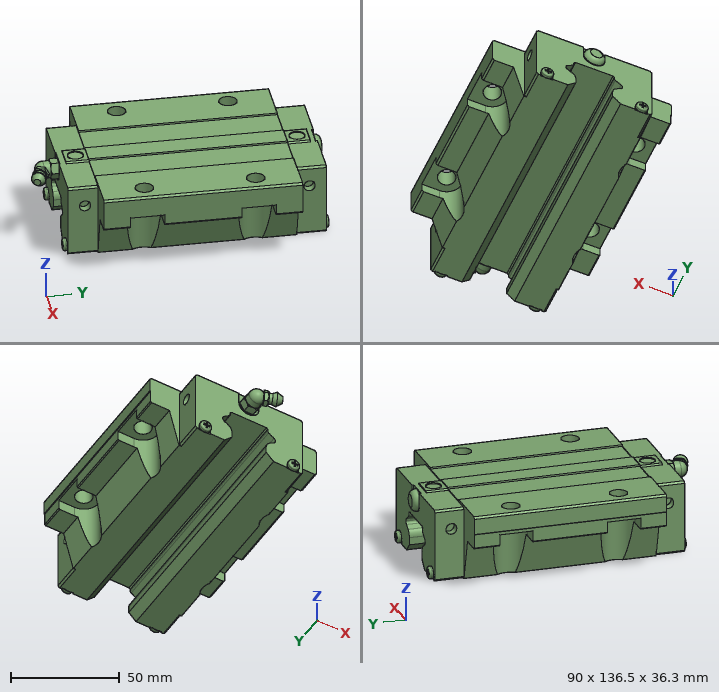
import cadquery as cq
import math


overall_length = 136.5

body_length = 92.8
body_height = 36.0
flange_width = 90.0
flange_half_width = flange_width / 2
flange_bottom = 20.2
edge_chamfer = 1.0
leg_top_half_width = 34.4
leg_bottom_half_width = 29.2
land_bottom = 27.5
land_setback = 0.4

recess_depth = 0.7
recess_half_width = 20.9
strip_half_width = 5.2
wall_run = 0.3

hole_x = 36.0
hole_pitch = 52.0
hole_y = hole_pitch / 2
hole_diameter = 8.5
spotface_diameter = 16.1
spotface_z = 25.8

cap_half_width = 29.0
cap_height = 35.0
cap_end = 60.3
plate_thickness = 3.3
cap_inner = body_length / 2
plate_inner = cap_end - plate_thickness
cap_mid = (cap_inner + plate_inner) / 2
cap_strip_height = 0.7
cap_strip_slope = 0.8
top_recess_diameter = 7.4
top_recess_depth = 0.5
side_hole_diameter = 5.2
side_hole_depth = 4.1
side_hole_y = 52.4
side_hole_z = 25.1

roof_half_width = 9.4
roof_chamfer = 0.7
opening_half_width = roof_half_width + roof_chamfer
groove_half_width = 14.2
throat_half_width = 9.3
mouth_half_width = 13.2
groove_mid_z = 13.9
groove_wall_height = 1.9
mouth_top = 17.7
lip_z = 9.7
throat_bottom = 4.0
mouth_fillet = 1.1
groove_fillet = 1.6
lip_fillet = 4.1

port_z = 29.5
port_radius = 5.3
nipple_pocket_depth = 0.4
plug_pocket_depth = 0.8
screw_pocket_depth = 0.4

screw_x = 23.8
screw_z = 2.7
screw_radius = 3.0
screw_rim = 0.7
screw_height = 1.8
screw_crown_radius = 1.9
cross_length = 3.0
cross_width = 0.5
cross_depth = 0.7

plug_rim = -0.4
plug_height = 2.6
plug_flat_radius = 3.0

nut_corner_radius = 4.8
nut_end = 63.8
nut_chamfer = 0.5
elbow_radius = 4.0
spout_tilt = 22.5
collar_start = 3.3
collar_length = 2.3
collar_corner_radius = 3.8
collar_chamfer = 0.8
neck_radius = 2.6
neck_end = 7.2
barb_radius = 3.4
barb_peak = 9.3
tip_radius = 1.6
tip_end = 12.1

tilt = math.radians(spout_tilt)
barb_reach = barb_peak * math.sin(tilt) + barb_radius * math.cos(tilt)
elbow_y = cap_end + plug_height + barb_reach - overall_length


def extrude_along_y(outline, y_low, y_high):
    """Extrude an XZ outline from y_low to y_high."""
    return outline.extrude(y_low - y_high).translate((0, y_low, 0))


def mirrored_outline(right_half):
    """Closed XZ outline from the points of its +X half."""
    left_half = [(-x, z) for x, z in reversed(right_half)]
    return cq.Workplane("XZ").polyline(right_half + left_half).close()


def make_body():
    recess_floor = body_height - recess_depth
    outline = mirrored_outline([
        (strip_half_width, body_height),
        (strip_half_width + wall_run, recess_floor),
        (recess_half_width, recess_floor),
        (recess_half_width + wall_run, body_height),
        (flange_half_width - edge_chamfer, body_height),
        (flange_half_width, body_height - edge_chamfer),
        (flange_half_width, flange_bottom + edge_chamfer),
        (flange_half_width - edge_chamfer, flange_bottom),
        (leg_top_half_width, flange_bottom),
        (leg_bottom_half_width, 0),
    ])
    body = extrude_along_y(outline, -body_length / 2, body_length / 2)
    setback = cq.Workplane("XY").box(
        land_setback, body_length, land_bottom, centered=(False, True, False)
    ).translate((-flange_half_width, 0, 0))
    return body.cut(setback)


def make_mounting_holes():
    """Through holes with spotfaces that run out through the flange sides."""
    holes = (
        cq.Workplane("XY").rect(2 * hole_x, 2 * hole_y, forConstruction=True).vertices()
        .circle(hole_diameter / 2).extrude(body_height)
    )
    spotface_run = flange_half_width - hole_x
    for side in (-1, 1):
        for y in (-hole_y, hole_y):
            seat = cq.Workplane("XY").center(side * hole_x, y)
            holes = holes.union(seat.circle(spotface_diameter / 2).extrude(spotface_z))
            run_out = seat.center(side * spotface_run / 2, 0).rect(spotface_run, spotface_diameter)
            holes = holes.union(run_out.extrude(spotface_z))
    return holes


def make_rail_opening():
    wall_top = groove_mid_z + groove_wall_height / 2
    wall_bottom = groove_mid_z - groove_wall_height / 2
    outline = mirrored_outline([
        (roof_half_width, flange_bottom),
        (opening_half_width, flange_bottom - roof_chamfer),
        (opening_half_width, mouth_top),
        (groove_half_width, wall_top),
        (groove_half_width, wall_bottom),
        (throat_half_width, lip_z),
        (throat_half_width, throat_bottom),
        (mouth_half_width, 0),
    ])
    opening = extrude_along_y(outline, -cap_end, cap_end)
    for side in (-1, 1):
        for x, z, radius in (
            (opening_half_width, mouth_top, mouth_fillet),
            (groove_half_width, wall_top, groove_fillet),
            (groove_half_width, wall_bottom, groove_fillet),
            (throat_half_width, lip_z, lip_fillet),
        ):
            corner = cq.selectors.NearestToPointSelector((side * x, 0, z))
            opening = opening.edges("|Y").edges(corner).fillet(radius)
    return opening


def make_cap():
    """End cap and wiper plate at the -Y end with its screws, but without the port pocket."""
    outline = cq.Workplane("XZ").rect(2 * cap_half_width, cap_height)
    cap = extrude_along_y(outline, -cap_end, -cap_inner)
    cap = cap.translate((0, 0, cap_height / 2)).edges("|Y").chamfer(edge_chamfer)

    strip_top = cap_height + cap_strip_height
    strip = mirrored_outline([
        (strip_half_width, strip_top),
        (strip_half_width + cap_strip_slope, cap_height),
    ])
    cap = cap.union(extrude_along_y(strip, -plate_inner, -cap_inner))

    top_recess = (
        cq.Workplane("XY").workplane(offset=strip_top - top_recess_depth).center(0, -cap_mid)
        .circle(top_recess_diameter / 2).extrude(top_recess_depth)
    )
    cap = cap.cut(top_recess)
    for side in (-1, 1):
        side_hole = (
            cq.Workplane("YZ").center(-side_hole_y, side_hole_z)
            .circle(side_hole_diameter / 2).extrude(-side * side_hole_depth)
            .translate((side * cap_half_width, 0, 0))
        )
        cap = cap.cut(side_hole)

        screw_pocket = make_pocket(screw_x * side, screw_z, screw_radius, 0, screw_pocket_depth)
        cap = cap.cut(screw_pocket)
        cap = cap.union(make_screw(screw_x * side))
    return cap


def make_pocket(x, z, radius, open_z, depth):
    """Round-ended pocket in the -Y plate, running out of the plate edge at height open_z."""
    round_end = cq.Workplane("XZ").center(x, z).circle(radius)
    mouth = cq.Workplane("XZ").center(x, (z + open_z) / 2).rect(2 * radius, abs(open_z - z))
    floor = -cap_end + depth
    return extrude_along_y(round_end, -cap_end, floor).union(extrude_along_y(mouth, -cap_end, floor))


def make_domed_head(radius, rim, height, flat_radius, sunk):
    """Button turned about Z: straight side from -sunk to rim, then a rounded crown."""
    return (
        cq.Workplane("XZ").moveTo(0, -sunk).lineTo(radius, -sunk).lineTo(radius, rim)
        .tangentArcPoint((flat_radius, height), relative=False).lineTo(0, height).close()
        .revolve(360, (0, 0, 0), (0, 1, 0))
    )


def stand_on_plate(head, x, z):
    """Turn a head made along +Z to face -Y and set it on the -Y plate."""
    return head.rotate((0, 0, 0), (1, 0, 0), 90).translate((x, -cap_end, z))


def make_screw(x):
    head = make_domed_head(screw_radius, screw_rim, screw_height, screw_crown_radius, screw_pocket_depth)
    for length, width in ((cross_length, cross_width), (cross_width, cross_length)):
        slot = cq.Workplane("XY").workplane(offset=screw_height - cross_depth).rect(length, width)
        head = head.cut(slot.extrude(cross_depth))
    return stand_on_plate(head, x, screw_z)


def make_plug():
    plug = make_domed_head(port_radius, plug_rim, plug_height, plug_flat_radius, plug_pocket_depth)
    return stand_on_plate(plug, 0, port_z)


def make_hexagon(corner_radius, height, chamfer):
    """Hexagonal prism along +Z with corners on the X axis, bevelled round its top end."""
    envelope = cq.Workplane("XY").circle(corner_radius).extrude(height).faces(">Z").chamfer(chamfer)
    return cq.Workplane("XY").polygon(6, 2 * corner_radius).extrude(height).intersect(envelope)


def make_nipple():
    nut_start = cap_end - nipple_pocket_depth
    nut = make_hexagon(nut_corner_radius, nut_end - nut_start, nut_chamfer)
    nut = nut.rotate((0, 0, 0), (1, 0, 0), 90).translate((0, -nut_start, 0))
    stem = extrude_along_y(cq.Workplane("XZ").circle(elbow_radius), elbow_y, -nut_start)
    elbow = cq.Workplane("XY").sphere(elbow_radius).translate((0, elbow_y, 0))

    spout = (
        cq.Workplane("XZ")
        .polyline([
            (0, 0),
            (neck_radius, 0),
            (neck_radius, neck_end),
            (barb_radius, barb_peak),
            (tip_radius, tip_end),
            (0, tip_end),
        ])
        .close().revolve(360, (0, 0, 0), (0, 1, 0))
    )
    collar = make_hexagon(collar_corner_radius, collar_length, collar_chamfer)
    collar = collar.rotate((0, 0, 0), (0, 0, 1), 90).translate((0, 0, collar_start))
    spout = (
        spout.union(collar)
        .rotate((0, 0, 0), (0, 1, 0), 90)
        .rotate((0, 0, 0), (0, 0, 1), -spout_tilt)
        .translate((0, elbow_y, 0))
    )
    return nut.union(stem).union(elbow).union(spout).translate((0, 0, port_z))


def make_front_cap():
    pocket = make_pocket(0, port_z, port_radius, cap_height, nipple_pocket_depth)
    return make_cap().cut(pocket).union(make_nipple())


def make_rear_cap():
    pocket = make_pocket(0, port_z, port_radius, cap_height, plug_pocket_depth)
    return make_cap().cut(pocket).union(make_plug()).mirror("XZ")


carriage = make_body().cut(make_mounting_holes())
carriage = carriage.union(make_front_cap()).union(make_rear_cap())
result = carriage.cut(make_rail_opening())